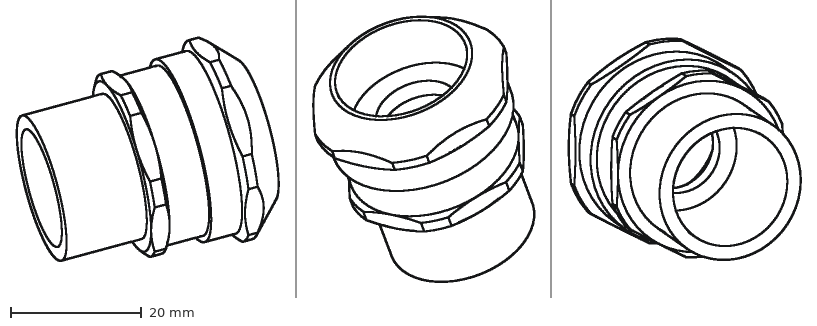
import cadquery as cq
import math


overall_length = 34.47

spigot_diameter = 23.04
spigot_length = 13.0

body_across_flats = 27.0
body_across_corners = 29.0
body_hex_length = 3.0
body_cylinder_length = 6.4

skirt_diameter = 29.0
skirt_length = 5.0
nut_across_flats = 30.0
nut_across_corners = 31.95
nut_corner_land = 1.5
rear_rim_diameter = 22.6

front_bore_diameter = 18.64
through_bore_diameter = 13.1
rear_bore_diameter = 21.0
web_thickness = 3.0

chamfer_angle = math.radians(30)

spigot_end = -spigot_length
body_hex_end = body_hex_length
skirt_start = body_hex_end + body_cylinder_length
skirt_end = skirt_start + skirt_length
nut_chamfer_length = (nut_across_corners - skirt_diameter) / 2 * math.tan(chamfer_angle)
nut_land_start = skirt_end + nut_chamfer_length
nut_land_end = nut_land_start + nut_corner_land
rear_end = spigot_end + overall_length
web_front = skirt_start
web_rear = web_front + web_thickness


def cylinder(diameter, start, end):
    """Cylinder along +Y between two stations."""
    base = cq.Workplane("XZ", origin=(0, start, 0))
    return base.circle(diameter / 2).extrude(start - end)


def hexagon(across_flats, start, end):
    """Hexagonal prism along +Y with one pair of flats facing +X and -X."""
    side_count = 6
    half_sector = math.pi / side_count
    corner_diameter = across_flats / math.cos(half_sector)
    base = cq.Workplane("XZ", origin=(0, start, 0))
    prism = base.polygon(side_count, corner_diameter).extrude(start - end)
    return prism.rotate((0, 0, 0), (0, 1, 0), math.degrees(half_sector))


def turned(profile):
    """Solid of revolution about Y from (diameter, station) pairs."""
    outline = [(0, profile[0][1])]
    outline += [(diameter / 2, station) for diameter, station in profile]
    outline.append((0, profile[-1][1]))
    return cq.Workplane("XY").polyline(outline).close().revolve(360, (0, 0, 0), (0, 1, 0))


def body_hexagon():
    """Body hexagon with its corners chamfered on both ends."""
    chamfer_length = (body_across_corners - body_across_flats) / 2 * math.tan(chamfer_angle)
    envelope = turned([
        (body_across_flats, 0),
        (body_across_corners, chamfer_length),
        (body_across_corners, body_hex_end - chamfer_length),
        (body_across_flats, body_hex_end),
    ])
    return envelope.intersect(hexagon(body_across_flats, 0, body_hex_end))


def nut_hexagon():
    """Nut hexagon, chamfered next to the skirt and coned down to the rear rim."""
    envelope = turned([
        (skirt_diameter, skirt_end),
        (nut_across_corners, nut_land_start),
        (nut_across_corners, nut_land_end),
        (rear_rim_diameter, rear_end),
    ])
    return envelope.intersect(hexagon(nut_across_flats, skirt_end, rear_end))


def outer_shape():
    """Everything before boring."""
    spigot = cylinder(spigot_diameter, spigot_end, 0)
    body_cylinder = cylinder(body_across_flats, body_hex_end, skirt_start)
    skirt = cylinder(skirt_diameter, skirt_start, skirt_end)
    return spigot.union(body_hexagon()).union(body_cylinder).union(skirt).union(nut_hexagon())


def bores():
    """Front and rear counterbores joined by the smaller hole through the web between them."""
    front = cylinder(front_bore_diameter, spigot_end, web_front)
    through = cylinder(through_bore_diameter, spigot_end, rear_end)
    rear = cylinder(rear_bore_diameter, web_rear, rear_end)
    return front.union(through).union(rear)


result = outer_shape().cut(bores())